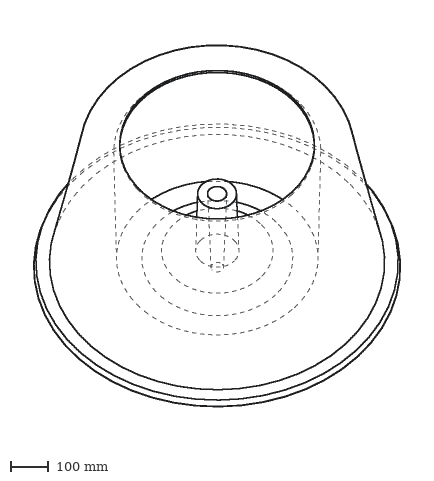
import cadquery as cq
import math

rim_radius = 485.0
rim_top_radius = 480.0
rim_thickness = 20.0

height = 500.0
draft_angle = 10.0
body_base_radius = 444.0
top_corner_radius = 36.0

opening_diameter = 515.0
lip_thickness = 8.0
well_floor = 37.0
well_bottom_radius = 267.0
well_top_radius = 275.0
well_corner_radius = 21.0

plinth_base_radius = 200.0
plinth_top_radius = 148.0
plinth_slope = 30.0
post_base_radius = 57.0
post_top_radius = 51.0
post_top = 299.0

bore_top_radius = 25.0
bore_bottom_radius = 16.5

body_slope = math.tan(math.radians(draft_angle))
plinth_height = (plinth_base_radius - plinth_top_radius) * math.tan(math.radians(plinth_slope))
plinth_top = well_floor + plinth_height
opening_radius = opening_diameter / 2
well_top = height - lip_thickness


def body_radius(z):
    """Outer radius of the tapered body at height z."""
    return body_base_radius - (z - rim_thickness) * body_slope


def frustum(bottom_radius, top_radius, bottom_z, top_z):
    """Solid cone section standing on the Z axis."""
    profile = [(0, bottom_z), (bottom_radius, bottom_z), (top_radius, top_z), (0, top_z)]
    return cq.Workplane("YZ").polyline(profile).close().revolve(360, (0, 0), (0, 1))


def make_body():
    """Tapered outer body with its top edge rounded, standing on the rim flange."""
    body = frustum(body_radius(0), body_radius(height), 0, height)
    body = body.faces(">Z").edges().fillet(top_corner_radius)
    rim = frustum(rim_radius, rim_top_radius, 0, rim_thickness)
    return body.union(rim)


def make_well():
    """Space inside the body: a rounded-top well and the opening through its lip."""
    well = frustum(well_bottom_radius, well_top_radius, well_floor, well_top)
    well = well.faces(">Z").edges().fillet(well_corner_radius)
    opening = frustum(opening_radius, opening_radius, well_top - well_corner_radius, height)
    return well.union(opening)


def make_center():
    """Conical plinth on the well floor carrying a slim tapered post."""
    plinth = frustum(plinth_base_radius, plinth_top_radius, well_floor, plinth_top)
    post = frustum(post_base_radius, post_top_radius, plinth_top, post_top)
    return plinth.union(post)


bore = frustum(bore_bottom_radius, bore_top_radius, 0, post_top)
result = make_body().cut(make_well()).union(make_center()).cut(bore)